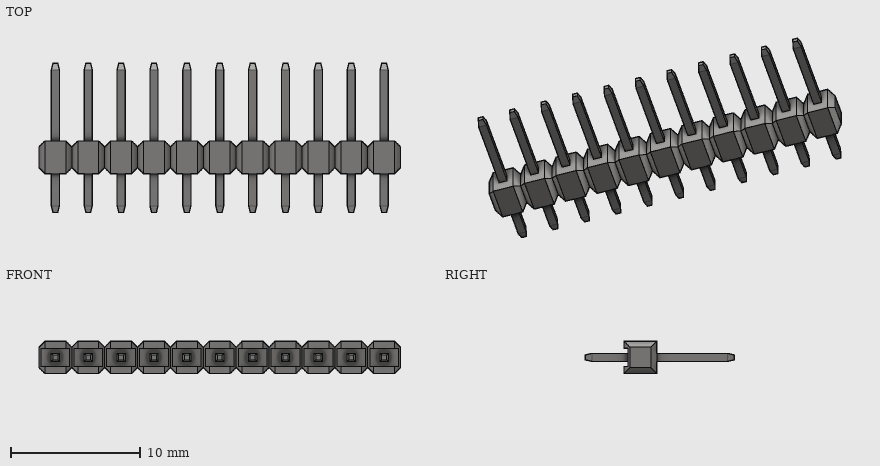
import cadquery as cq

pin_count = 11
pitch = 2.54

cell_depth = 2.54
cell_height = 2.5
corner_chamfer = 0.46
recess_depth = 0.3
recess_height = 1.4

pin_width = 0.64
tip_width = 0.38
tip_length = 0.52
front_pin_length = 3.0
rear_pin_length = 6.0

front_face = -cell_depth / 2
rear_face = cell_depth / 2
front_tip = front_face - front_pin_length
rear_tip = rear_face + rear_pin_length
row_length = pin_count * pitch


def make_cell(x):
    """Housing cell with its two X end faces chamfered all round."""
    cell = cq.Workplane("XY").box(pitch, cell_depth, cell_height)
    cell = cell.faces("<X or >X").chamfer(corner_chamfer)
    return cell.translate((x, 0, 0))


def make_tip(x, base_y, direction):
    """Tapered pin end that narrows along Y in the given direction (+1 or -1)."""
    plane = cq.Plane(origin=(x, base_y, 0), xDir=(1, 0, 0), normal=(0, direction, 0))
    return (
        cq.Workplane(plane)
        .rect(pin_width, pin_width)
        .workplane(offset=tip_length)
        .rect(tip_width, tip_width)
        .loft(ruled=True)
    )


def make_pin(x):
    """Straight square pin with a tapered tip at each end."""
    shank_start = front_tip + tip_length
    shank_end = rear_tip - tip_length
    shank_length = shank_end - shank_start
    shank_middle = (shank_start + shank_end) / 2
    shank = cq.Workplane("XY").box(pin_width, shank_length, pin_width)
    shank = shank.translate((x, shank_middle, 0))
    return shank.union(make_tip(x, shank_start, -1)).union(make_tip(x, shank_end, 1))


def make_recess():
    """Shallow channel along the whole front face of the housing."""
    channel = cq.Workplane("XY").box(row_length, recess_depth, recess_height)
    return channel.translate((0, front_face + recess_depth / 2, 0))


pin_positions = [(i - (pin_count - 1) / 2) * pitch for i in range(pin_count)]

housing = make_cell(pin_positions[0])
for x in pin_positions[1:]:
    housing = housing.union(make_cell(x))
housing = housing.cut(make_recess())

result = housing
for x in pin_positions:
    result = result.union(make_pin(x))